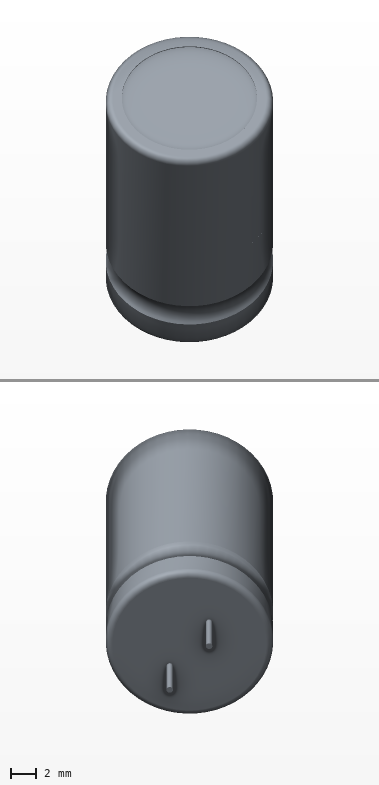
import cadquery as cq

total_height = 25.6
can_radius = 6.5
can_bottom = 3.6
edge_radius = 0.5

groove_bottom = 6.07
groove_top = 8.27
neck_radius = 6.05

disc_radius = 5.25
disc_recess = 0.08
disc_thickness = 0.5

bar_bottom = 13.24
bar_top = 18.95
bar_width = 1.8
bar_thickness = 0.25

pin_radius = 0.25
pin_spacing = 5.0


def make_can():
    """Revolved can with rounded ends, a crimp groove and a seat for the vent disc."""
    profile = (
        cq.Workplane("XZ")
        .moveTo(0, can_bottom)
        .lineTo(can_radius, can_bottom)
        .lineTo(can_radius, groove_bottom)
        .threePointArc((neck_radius, (groove_bottom + groove_top) / 2), (can_radius, groove_top))
        .lineTo(can_radius, total_height)
        .lineTo(0, total_height)
        .close()
    )
    can = profile.revolve(360, (0, 0, 0), (0, 1, 0))
    can = can.faces("<Z or >Z").edges().fillet(edge_radius)
    seat_depth = disc_recess + disc_thickness
    seat = (
        cq.Workplane("XY")
        .workplane(offset=total_height - seat_depth)
        .circle(disc_radius)
        .extrude(seat_depth)
    )
    return can.cut(seat)


def make_vent_disc():
    """Flat disc resting on the floor of the can's top seat."""
    disc_bottom = total_height - disc_recess - disc_thickness
    return cq.Workplane("XY").workplane(offset=disc_bottom).circle(disc_radius).extrude(disc_thickness)


def make_polarity_bar():
    """Curved upright bar whose outer face continues the can's cylinder."""
    bar_height = bar_top - bar_bottom
    shell = (
        cq.Workplane("XY")
        .workplane(offset=bar_bottom)
        .circle(can_radius)
        .circle(can_radius - bar_thickness)
        .extrude(bar_height)
    )
    bar_envelope = (
        cq.Workplane("XY")
        .workplane(offset=bar_bottom)
        .center(can_radius / 2, 0)
        .rect(can_radius, bar_width)
        .extrude(bar_height)
    )
    return shell.intersect(bar_envelope)


def make_pin(x):
    """Round lead that ends flush against the bottom of the can."""
    return cq.Workplane("XY").center(x, 0).circle(pin_radius).extrude(can_bottom)


vent_disc = make_vent_disc()
polarity_bar = make_polarity_bar()
can = make_can().cut(polarity_bar)
pins = [make_pin(side * pin_spacing / 2) for side in (-1, 1)]

result = cq.Compound.makeCompound(
    [can.val(), vent_disc.val(), polarity_bar.val(), *[pin.val() for pin in pins]]
)